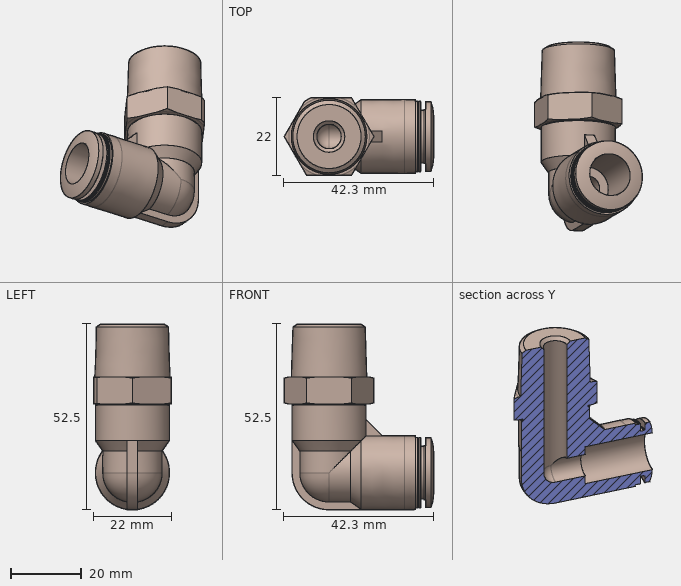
import cadquery as cq
import math


body_radius = 21.0 / 2
elbow_radius = 16.8 / 2
cone_start = 6.1
cone_end = 9.1

top_z = 42.0
body_top_z = 19.1
neck_radius = 20.0 / 2
hex_bottom_z = 19.4
hex_top_z = 27.1
hex_across_flats = 22.0
hex_across_corners = hex_across_flats / math.cos(math.radians(30))
hex_face_radius = 11.4
hex_chamfer_angle = 15.0
marked_corner_angle = 120.0
marked_corner_distance = 12.1
thread_end_radius = 10.25
thread_taper = 1 / 32
thread_chamfer_height = 0.8
thread_chamfer_width = 1.2

draft_radius = 10.47
body_widest_x = 21.3
body_end_x = 24.4
collar_radius = 20.0 / 2
collar_end_x = 26.0
groove_start_x = 25.0
groove_depth = 0.22
sleeve_radius = 15.0 / 2
shoulder_radius = 15.3 / 2
shoulder_x = 26.9
flange_radius = 19.8 / 2
flange_x = 27.3
flange_rim_x = 28.8
end_x = 29.6

rib_thickness = 3.0
gusset_reach = 15.0

bore_radius = 6.9 / 2
bore_chamfer = 1.0
tube_socket_radius = 12.0 / 2


def revolve_about_z(points):
    """Solid of revolution from an outline of (radius, z) points."""
    return cq.Workplane("XZ").polyline(points).close().revolve(360, (0, 0), (0, 1))


def revolve_about_x(points):
    """Solid of revolution from an outline of (x, radius) points."""
    return cq.Workplane("XZ").polyline(points).close().revolve(360, (0, 0), (1, 0))


def make_threaded_arm():
    """Threaded arm from the elbow centre to the end of the taper thread."""
    chamfer_z = top_z - thread_chamfer_height
    thread_base_radius = thread_end_radius + thread_taper * (chamfer_z - hex_top_z)
    return revolve_about_z([
        (0, 0),
        (elbow_radius, 0),
        (elbow_radius, cone_start),
        (body_radius, cone_end),
        (body_radius, body_top_z),
        (neck_radius, body_top_z),
        (neck_radius, hex_top_z),
        (thread_base_radius, hex_top_z),
        (thread_end_radius, chamfer_z),
        (thread_end_radius - thread_chamfer_width, top_z),
        (0, top_z),
    ])


def make_hex():
    """Hexagon with corners on X, its corners chamfered at both ends.

    One corner is cut off by a small flat along its whole height.
    """
    height = hex_top_z - hex_bottom_z
    prism = (
        cq.Workplane("XY", origin=(0, 0, hex_bottom_z))
        .polygon(6, hex_across_corners)
        .extrude(height)
    )
    corner_radius = hex_across_corners / 2
    drop = (corner_radius - hex_face_radius) * math.tan(math.radians(hex_chamfer_angle))
    envelope = revolve_about_z([
        (0, hex_bottom_z),
        (hex_face_radius, hex_bottom_z),
        (corner_radius, hex_bottom_z + drop),
        (corner_radius, hex_top_z - drop),
        (hex_face_radius, hex_top_z),
        (0, hex_top_z),
    ])
    corner_cutter = (
        cq.Workplane("XY")
        .box(corner_radius, corner_radius, height, centered=(False, True, False))
        .translate((marked_corner_distance, 0, hex_bottom_z))
        .rotate((0, 0, 0), (0, 0, 1), marked_corner_angle)
    )
    return prism.intersect(envelope).cut(corner_cutter)


def make_push_in_body():
    """Push-in arm from the elbow centre to the end of its grooved, chamfered collar."""
    groove_end_x = groove_start_x + 2 * groove_depth
    return revolve_about_x([
        (0, 0),
        (0, elbow_radius),
        (cone_start, elbow_radius),
        (cone_end, draft_radius),
        (body_widest_x, body_radius),
        (body_end_x, draft_radius),
        (body_end_x, collar_radius),
        (groove_start_x, collar_radius),
        (groove_start_x + groove_depth, collar_radius - groove_depth),
        (groove_end_x, collar_radius),
        (collar_end_x - groove_depth, collar_radius),
        (collar_end_x, collar_radius - groove_depth),
        (collar_end_x, 0),
    ])


def make_release_sleeve():
    """Release sleeve whose flange rounds over to the mouth of the tube socket."""
    round_width = flange_radius - tube_socket_radius
    round_length = end_x - flange_rim_x
    round_radius = (round_width**2 + round_length**2) / (2 * round_length)
    half_angle = math.asin(round_width / round_radius) / 2
    round_middle = (
        end_x - round_radius * (1 - math.cos(half_angle)),
        tube_socket_radius + round_radius * math.sin(half_angle),
    )
    return (
        cq.Workplane("XZ")
        .moveTo(body_end_x, 0)
        .lineTo(body_end_x, sleeve_radius)
        .lineTo(shoulder_x, sleeve_radius)
        .lineTo(shoulder_x, shoulder_radius)
        .lineTo(flange_x, shoulder_radius)
        .lineTo(flange_x, flange_radius)
        .lineTo(flange_rim_x, flange_radius)
        .threePointArc(round_middle, (end_x, tube_socket_radius))
        .lineTo(end_x, 0)
        .close()
        .revolve(360, (0, 0), (1, 0))
    )


def make_ribs():
    """Rounded rib around the outside of the elbow and a gusset inside it."""
    sketch_plane = cq.Workplane("XZ", origin=(0, rib_thickness / 2, 0))
    diagonal = body_radius * math.sqrt(0.5)
    outer_rib = (
        sketch_plane
        .moveTo(0, cone_end)
        .lineTo(-body_radius, cone_end)
        .lineTo(-body_radius, 0)
        .threePointArc((-diagonal, -diagonal), (0, -body_radius))
        .lineTo(cone_end, -body_radius)
        .lineTo(cone_end, 0)
        .lineTo(0, 0)
        .close()
        .extrude(rib_thickness)
    )
    gusset = (
        sketch_plane
        .polyline([(0, 0), (0, gusset_reach), (body_radius, gusset_reach),
                   (gusset_reach, body_radius), (gusset_reach, 0)])
        .close()
        .extrude(rib_thickness)
    )
    return outer_rib.union(gusset)


def make_bores():
    """Flow passage with a ball-shaped turn, and the socket for the tube."""
    threaded_bore = revolve_about_z([
        (0, 0),
        (bore_radius, 0),
        (bore_radius, top_z - bore_chamfer),
        (bore_radius + bore_chamfer, top_z),
        (0, top_z),
    ])
    push_in_bore = revolve_about_x([
        (0, 0),
        (0, bore_radius),
        (cone_end, bore_radius),
        (cone_end, tube_socket_radius),
        (end_x, tube_socket_radius),
        (end_x, 0),
    ])
    turn = cq.Workplane("XY").sphere(bore_radius)
    return threaded_bore.union(push_in_bore).union(turn)


result = (
    make_threaded_arm()
    .union(make_push_in_body())
    .union(cq.Workplane("XY").sphere(elbow_radius))
    .union(make_ribs())
    .union(make_hex())
    .union(make_release_sleeve())
    .cut(make_bores())
)